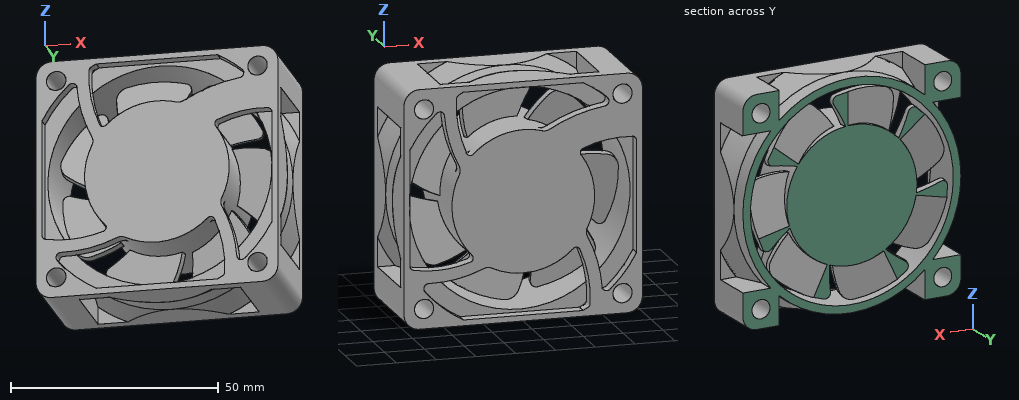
import cadquery as cq
import math


frame_size = 60.0
frame_depth = 25.5
corner_radius = 3.9
half_size = frame_size / 2

hole_radius = 2.4
hole_offset = 24.95

plate_thickness = 3.1
opening_half_width = 28.5
opening_radius = 32.2
outer_fillet = 1.2
sharp_fillet = 1.0
blunt_fillet = 2.4
blunt_limit = 9.6

struts = [
    ((-1, 1), (13.45, 25.5), 30.3, (13.45, 25.5), 33.35),
    ((1, -1), (-13.45, -25.5), 30.3, (-13.45, -25.5), 33.35),
    ((-1, -1), (-22.2, 12.85), 28.45, (-22.75, 13.3), 32.05),
    ((1, 1), (25.5, -12.65), 26.8, (25.9, -16.45), 39.05),
]

bore_radius = 27.8
duct_outer_radius = half_size
duct_flare_radius = 32.5
duct_band_width = 5.65
window_half_length = 20.0
window_end = frame_depth - plate_thickness

hub_radius = 17.95
blade_count = 7
blade_tilt = math.radians(10)
blade_thickness = 2.0
blade_axis_depth = 12.1
blade_leading_fillet = 3.6
blade_trailing_fillet = 1.5

leading_root = (-10.5, 12.0)
leading_middle = (-12.3, 18.6)
leading_tip = (-12.6, 24.5)
tip_middle = (-3.6, 26.65)
trailing_tip = (6.5, 25.55)
trailing_middle = (3.7, 21.05)
trailing_root = (1.2, 15.6)

tolerance = 0.005


def cylinder(radius, start, end, center=(0, 0)):
    """Cylinder along Y between two depths, centred at (x, z)."""
    base = cq.Vector(center[0], start, center[1])
    axis = cq.Vector(0, 1, 0)
    solid = cq.Solid.makeCylinder(radius, end - start, base, axis)
    return cq.Workplane(obj=solid)


def block(size_x, size_z, start, end):
    """Box centred on the fan axis between two depths."""
    box = cq.Workplane().box(size_x, end - start, size_z)
    return box.translate((0, (start + end) / 2, 0))


def make_duct():
    """Waisted duct body: a cylindrical band that flares towards both flanges."""
    band_start = (frame_depth - duct_band_width) / 2
    band_end = band_start + duct_band_width
    return (
        cq.Workplane("XY")
        .moveTo(0, plate_thickness)
        .lineTo(-duct_flare_radius, plate_thickness)
        .lineTo(-duct_outer_radius, band_start)
        .lineTo(-duct_outer_radius, band_end)
        .lineTo(-duct_flare_radius, window_end)
        .lineTo(0, window_end)
        .close()
        .revolve(360, (0, 0, 0), (0, 1, 0))
    )


def make_frame():
    """Square frame with side windows around the duct, mounting holes and the bore."""
    frame = block(frame_size, frame_size, 0, frame_depth).edges("|Y").fillet(corner_radius)
    window_length = 2 * window_half_length
    windows = block(frame_size, window_length, plate_thickness, window_end)
    windows = windows.union(block(window_length, frame_size, plate_thickness, window_end))
    frame = frame.cut(windows.cut(make_duct()))
    for x in (-hole_offset, hole_offset):
        for z in (-hole_offset, hole_offset):
            frame = frame.cut(cylinder(hole_radius, 0, frame_depth, (x, z)))
    return frame.cut(cylinder(bore_radius, plate_thickness, frame_depth))


def make_strut(quadrant, inner_center, inner_radius, outer_center, outer_radius):
    """Curved strut between two arcs, kept to one quadrant of the grille."""
    strut = cylinder(outer_radius, 0, plate_thickness, outer_center)
    strut = strut.cut(cylinder(inner_radius, 0, plate_thickness, inner_center))
    corner = block(frame_size, frame_size, 0, plate_thickness)
    return strut.intersect(corner.translate((quadrant[0] * half_size, 0, quadrant[1] * half_size)))


def is_hub_corner(x, z):
    return abs(math.hypot(x, z) - hub_radius) < tolerance


def is_blunt_corner(x, z):
    return is_hub_corner(x, z) and min(abs(x), abs(z)) < blunt_limit


def is_sharp_corner(x, z):
    return is_hub_corner(x, z) and min(abs(x), abs(z)) > blunt_limit


def is_outer_corner(x, z):
    """A strut end: on the opening's circle or on its straight side, but not where these two meet."""
    on_circle = abs(math.hypot(x, z) - opening_radius) < tolerance
    on_side = abs(max(abs(x), abs(z)) - opening_half_width) < tolerance
    return on_circle != on_side


def fillet_corners(body, is_chosen, radius):
    """Round the edges along Y whose (x, z) place is chosen."""
    edges = [e for e in body.edges("|Y").vals() if is_chosen(e.Center().x, e.Center().z)]
    return body.newObject(edges).fillet(radius)


def make_openings():
    """The four grille openings left between the hub and the struts."""
    width = 2 * opening_half_width
    openings = block(width, width, 0, plate_thickness)
    openings = openings.intersect(cylinder(opening_radius, 0, plate_thickness))
    openings = openings.cut(cylinder(hub_radius, 0, plate_thickness))
    for strut in struts:
        openings = openings.cut(make_strut(*strut))
    openings = fillet_corners(openings, is_blunt_corner, blunt_fillet)
    openings = fillet_corners(openings, is_sharp_corner, sharp_fillet)
    return fillet_corners(openings, is_outer_corner, outer_fillet)


def make_blade():
    """Flat blade pointing to +Z, tilted about its radial axis and rooted inside the hub."""
    plane = cq.Plane(
        origin=(0, blade_axis_depth, 0),
        xDir=(math.cos(blade_tilt), math.sin(blade_tilt), 0),
        normal=(math.sin(blade_tilt), -math.cos(blade_tilt), 0),
    )
    blade = (
        cq.Workplane(plane)
        .moveTo(*leading_root)
        .threePointArc(leading_middle, leading_tip)
        .threePointArc(tip_middle, trailing_tip)
        .threePointArc(trailing_middle, trailing_root)
        .close()
        .extrude(-blade_thickness)
    )
    across = cq.selectors.ParallelDirSelector(plane.zDir)
    blade = blade.edges(across).edges("<X").fillet(blade_leading_fillet)
    return blade.edges(across).edges(">X").fillet(blade_trailing_fillet)


def make_rotor():
    """Hub with its ring of blades."""
    rotor = cylinder(hub_radius, 0, frame_depth)
    blade = make_blade()
    for i in range(blade_count):
        rotor = rotor.union(blade.rotate((0, 0, 0), (0, 1, 0), i * 360 / blade_count))
    return rotor


frame = make_frame().cut(make_openings()).cut(cylinder(hub_radius, 0, plate_thickness))
result = frame.union(make_rotor()).clean()